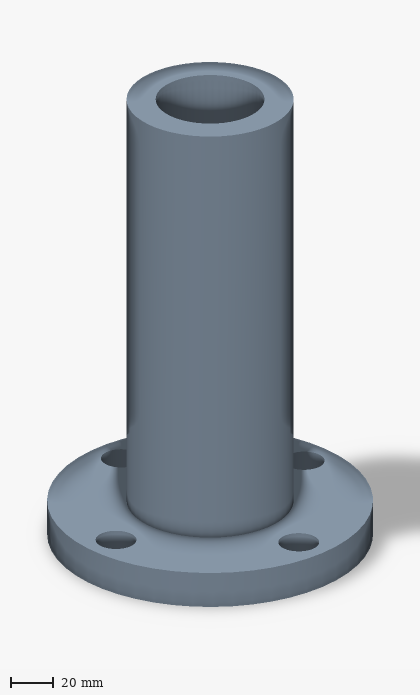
import cadquery as cq

total_height = 227.0
flange_diameter = 152.3
flange_thickness = 17.7
neck_diameter = 78.0
bore_diameter = 50.9

bolt_hole_count = 4
bolt_hole_diameter = 19.0
bolt_circle_diameter = 120.8


def make_flange():
    """Round flange resting on the XY plane."""
    return cq.Workplane("XY").circle(flange_diameter / 2).extrude(flange_thickness)


def make_neck():
    """Straight round neck over the full height of the part."""
    return cq.Workplane("XY").circle(neck_diameter / 2).extrude(total_height)


def make_bore():
    """Cutter for the bore through the whole part."""
    return cq.Workplane("XY").circle(bore_diameter / 2).extrude(total_height)


def make_bolt_holes():
    """Cutters for the bolt holes, with the first one on the +X axis."""
    return (
        cq.Workplane("XY")
        .polarArray(bolt_circle_diameter / 2, 0, 360, bolt_hole_count)
        .circle(bolt_hole_diameter / 2)
        .extrude(flange_thickness)
    )


result = make_flange().union(make_neck()).cut(make_bore()).cut(make_bolt_holes())